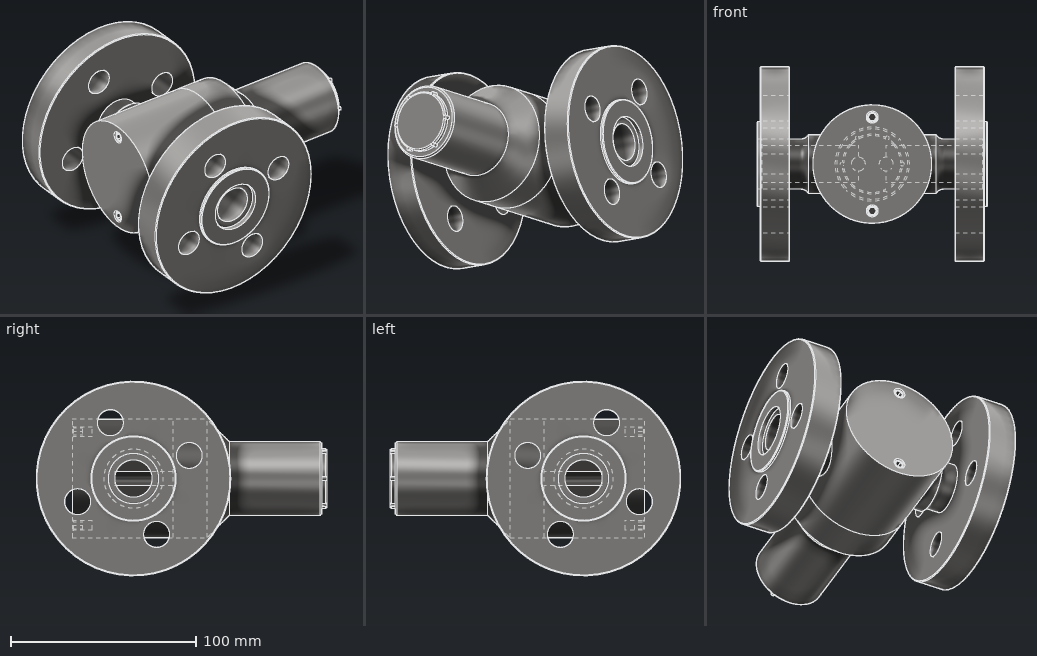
import cadquery as cq
import math


barrel_diameter = 64.0
barrel_bottom = -33.0
barrel_top = 21.2
boss_diameter = 31.8
boss_end = 34.4
stub_diameter = 27.1
neck_start = 38.6
port_diameter = 20.0

passage_diameter = 7.5
port_floor = 7.5

flange_diameter = 105.0
flange_thickness = 16.0
flange_chamfer = 0.5
face_diameter = 46.0
face_height = 1.5
face_chamfer = 0.5
port_face = 124.0 / 2
stub_recess = 2.7
bolt_hole_diameter = 14.0
bolt_circle_diameter = 65.1
bolt_count = 4
bolt_start_angle = 22.5

tube_diameter = 40.0
cone_start = 39.7
tube_end = 101.5
tube_chamfer = 1.0

knob_diameter = 32.3
knob_end = 104.38
knob_chamfer = 0.8
rib_diameter = 2.0
rib_circle_diameter = 32.5
rib_count = 6

screw_diameter = 5.0
screw_length = 10.0
screw_offset = 25.3
screw_sink = 0.6
countersink_diameter = 6.5
countersink_angle = 45
socket_across_flats = 3.8
socket_depth = 4.7

flange_front = port_face - face_height
flange_back = flange_front - flange_thickness
stub_end = port_face - stub_recess


def rod_y(diameter, start, end, x=0, z=0):
    """A round rod along Y from start to end."""
    plane = cq.Plane(origin=(x, start, z), xDir=(1, 0, 0), normal=(0, 1, 0))
    return cq.Workplane(plane).circle(diameter / 2).extrude(end - start)


def rod_x(diameter, start, end):
    """A round rod on the X axis from start to end."""
    return cq.Workplane("YZ", origin=(start, 0, 0)).circle(diameter / 2).extrude(end - start)


def mirrored(shape):
    """The same shape on the -X side."""
    return shape.mirror("YZ")


def make_stub():
    """Solid pipe stub on the +X side, joined to its boss by a hollow arc."""
    boss_radius = boss_diameter / 2
    stub_radius = stub_diameter / 2
    neck_length = neck_start - boss_end
    neck_height = boss_radius - stub_radius
    arc_radius = (neck_length**2 + neck_height**2) / (2 * neck_height)
    half_angle = math.asin(neck_length / arc_radius) / 2
    arc_middle = (
        neck_start - arc_radius * math.sin(half_angle),
        stub_radius + arc_radius * (1 - math.cos(half_angle)),
    )
    return (
        cq.Workplane("XY")
        .moveTo(0, 0)
        .lineTo(0, boss_radius)
        .lineTo(boss_end, boss_radius)
        .threePointArc(arc_middle, (neck_start, stub_radius))
        .lineTo(stub_end, stub_radius)
        .lineTo(stub_end, 0)
        .close()
        .revolve(360, (0, 0, 0), (1, 0, 0))
    )


def make_screw_hole(z):
    """Countersunk hole in the bottom of the barrel."""
    countersink_depth = (countersink_diameter - screw_diameter) / 2
    hole = rod_y(screw_diameter, barrel_bottom, barrel_bottom + screw_sink + screw_length, z=z)
    mouth_plane = cq.Plane(origin=(0, barrel_bottom, z), xDir=(1, 0, 0), normal=(0, 1, 0))
    mouth = (
        cq.Workplane(mouth_plane)
        .circle(countersink_diameter / 2)
        .extrude(countersink_depth, taper=countersink_angle)
    )
    return hole.union(mouth)


def make_body():
    stub = make_stub()
    body = rod_y(barrel_diameter, barrel_bottom, barrel_top).union(stub).union(mirrored(stub))
    port = rod_x(port_diameter, port_floor, stub_end)
    passage = rod_y(passage_diameter, -port_diameter / 2, barrel_top, x=port_floor)
    for cutter in (port, passage):
        body = body.cut(cutter).cut(mirrored(cutter))
    for z in (-screw_offset, screw_offset):
        body = body.cut(make_screw_hole(z))
    return body


def make_flange():
    """Slip-on flange on the +X side, with a raised face."""
    plate = rod_x(flange_diameter, flange_back, flange_front).edges().chamfer(flange_chamfer)
    raised_face = rod_x(face_diameter, flange_front, port_face).faces(">X").chamfer(face_chamfer)
    stub_hole = rod_x(stub_diameter, flange_back, port_face)
    bolt_holes = (
        cq.Workplane("YZ", origin=(flange_back, 0, 0))
        .polarArray(bolt_circle_diameter / 2, bolt_start_angle, 360, bolt_count)
        .circle(bolt_hole_diameter / 2)
        .extrude(flange_thickness)
    )
    return plate.union(raised_face).cut(stub_hole).cut(bolt_holes)


def make_bonnet():
    barrel_radius = barrel_diameter / 2
    tube_radius = tube_diameter / 2
    cone_end = cone_start + barrel_radius - tube_radius
    return (
        cq.Workplane("XY")
        .moveTo(0, barrel_top)
        .lineTo(barrel_radius, barrel_top)
        .lineTo(barrel_radius, cone_start)
        .lineTo(tube_radius, cone_end)
        .lineTo(tube_radius, tube_end - tube_chamfer)
        .lineTo(tube_radius - tube_chamfer, tube_end)
        .lineTo(0, tube_end)
        .close()
        .revolve(360, (0, 0, 0), (0, 1, 0))
    )


def make_knob():
    """Round knob with grip ribs around its rim."""
    knob = rod_y(knob_diameter, tube_end, knob_end).faces(">Y").chamfer(knob_chamfer)
    for index in range(rib_count):
        angle = math.radians(index * 360 / rib_count)
        rib_x = rib_circle_diameter / 2 * math.cos(angle)
        rib_z = rib_circle_diameter / 2 * math.sin(angle)
        knob = knob.union(rod_y(rib_diameter, tube_end, knob_end, x=rib_x, z=rib_z))
    return knob


def make_screw(z):
    """Headless screw with a hexagon socket."""
    screw_face = barrel_bottom + screw_sink
    socket_plane = cq.Plane(origin=(0, screw_face, z), xDir=(1, 0, 0), normal=(0, 1, 0))
    socket_across_corners = socket_across_flats / math.cos(math.radians(30))
    socket = cq.Workplane(socket_plane).polygon(6, socket_across_corners).extrude(socket_depth)
    return rod_y(screw_diameter, screw_face, screw_face + screw_length, z=z).cut(socket)


body = make_body()
right_flange = make_flange()
left_flange = mirrored(right_flange)
bonnet = make_bonnet()
knob = make_knob()
screws = [make_screw(z) for z in (-screw_offset, screw_offset)]

result = cq.Compound.makeCompound(
    [
        body.val(),
        left_flange.val(),
        right_flange.val(),
        bonnet.val(),
        knob.val(),
        *[screw.val() for screw in screws],
    ]
)